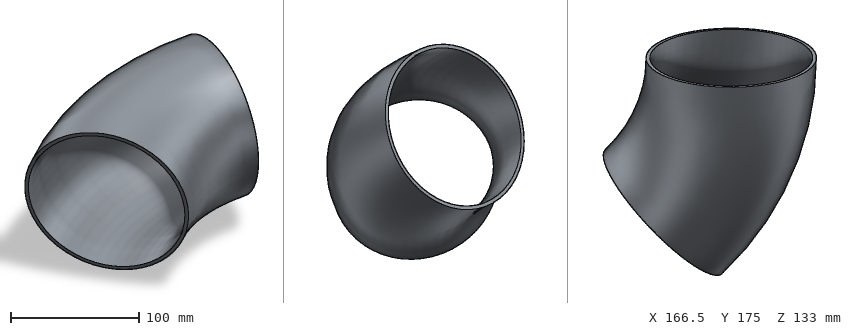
import cadquery as cq

outer_diameter = 133.0
wall_thickness = 3.0
bend_radius = 181.0
bend_angle = 45.0

outer_radius = outer_diameter / 2
inner_radius = outer_radius - wall_thickness


def make_elbow():
    """Revolve the pipe ring, lying in the XZ plane, about a vertical bend axis on its +X side."""
    axis_start = (bend_radius, 1)
    axis_end = (bend_radius, 0)
    ring = cq.Workplane("XZ").circle(outer_radius).circle(inner_radius)
    return ring.revolve(bend_angle, axis_start, axis_end)


result = make_elbow()